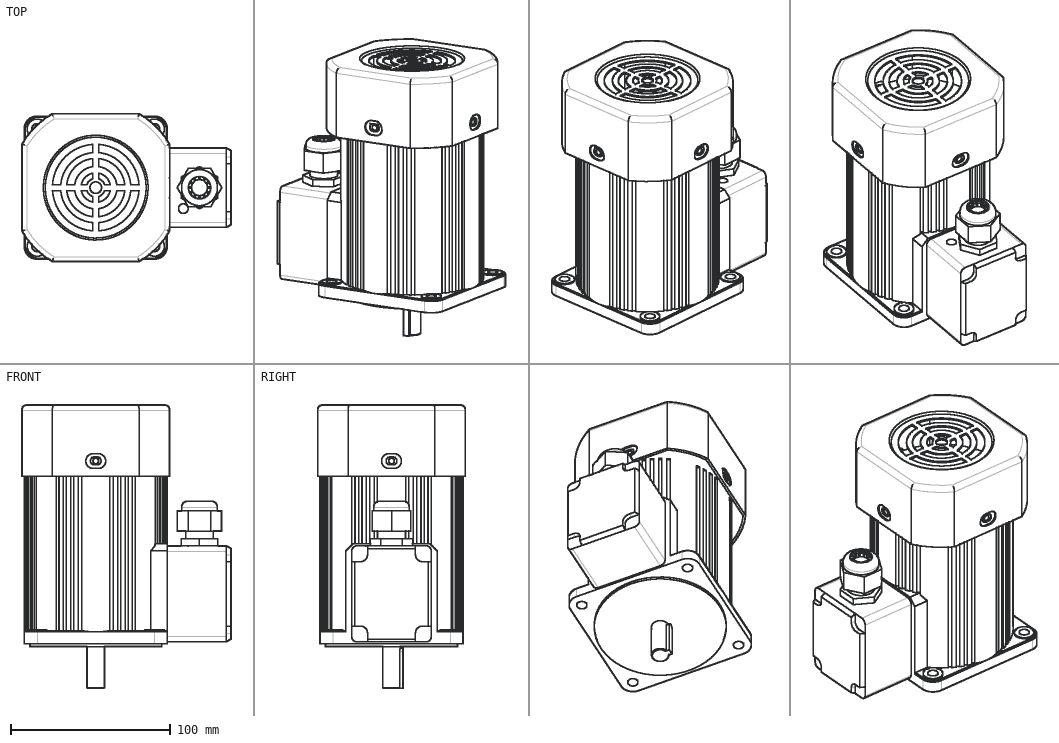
import cadquery as cq
import math


flange_width = 89.9
flange_height = 8.2
flange_corner_radius = 8.2
flange_edge_chamfer = 0.7
spigot_diameter = 83.0
spigot_height = 1.8
mount_hole_offset = 36.8
mount_hole_diameter = 6.4
mount_pad_diameter = 12.5
mount_pad_height = 0.7

housing_radius = flange_width / 2
housing_top = 105.2
flute_groups = 8
flutes_per_group = 4
flute_pitch_angle = 6.5
flute_radius = 1.0

saddle_top = 63.0
saddle_width = 57.3
saddle_chamfer = 4.6

shaft_diameter = 11.0
shaft_length = 28.0
shaft_seat_depth = flange_height
shaft_end_chamfer = 0.5
key_width = 4.0
key_top = -2.7
key_reach = 7.3

cover_width = 93.0
cover_height = 44.9
cover_corner_diameter = 107.7
cover_wall = cover_width / 2 - housing_radius
cover_edge_radius = 3.2
cover_top = housing_top + cover_height
grille_recess_diameter = 65.9
grille_recess_depth = 1.2
grille_recess_slope = 45
grille_thickness = 0.9
grille_spoke_width = 3.7
grille_rings = [(5.9, 9.3), (13.4, 18.3), (22.0, 27.2)]
grille_centre_hole_diameter = 7.3

bracket_top = 117.1
screw_height = 114.8
screw_recess_length = 12.5
screw_recess_height = 9.3
screw_recess_depth = 0.9
screw_slot_length = 6.8
screw_slot_height = 4.8
screw_pilot_diameter = 3.5
screw_pilot_depth = 7.1

box_width = 50.0
box_bottom = 1.2
box_top = 61.5
box_height = box_top - box_bottom
box_edge_radius = 3.4
box_start = housing_radius
box_end = 85.0
lid_thickness = 3.0
lid_taper = 1.8
lid_notch = 10.0
lid_notch_radius = 4.5
drain_hole_diameter = 6.0
drain_hole_depth = 5.3
drain_hole_x = 55.0
drain_hole_y = -13.2

gland_x = 65.1
base_hex_flats = 23.0
base_hex_height = 4.5
base_hex_turn = 30
neck_diameter = 17.5
neck_height = 4.8
nut_flats = 24.2
nut_height = 12.6
dome_diameter = 22.6
dome_height = 6.2
dome_edge_radius = 4.0
gland_bore_diameter = 13.9
gland_bore_depth = 3.5
claw_ring_inner_diameter = 10.0
claw_ring_drop = 0.9
claw_count = 12
claw_gap = 0.9


def disc(diameter, bottom, height):
    """Cylinder on the motor axis."""
    return cq.Workplane("XY").workplane(offset=bottom).circle(diameter / 2).extrude(height)


def hexagon(flats, bottom, height, turn):
    """Hexagonal prism on the gland axis, turned by an angle in degrees."""
    corners = flats / math.cos(math.pi / 6)
    prism = cq.Workplane("XY").polygon(6, corners).extrude(height)
    return prism.rotate((0, 0, 0), (0, 0, 1), turn).translate((gland_x, 0, bottom))


def cover_profile(inset, bottom, height):
    """Square with corners rounded about the motor axis, shrunk by an inset."""
    side = cover_width - 2 * inset
    square = cq.Workplane("XY").workplane(offset=bottom).rect(side, side).extrude(height)
    return square.intersect(disc(cover_corner_diameter - 2 * inset, bottom, height))


def on_four_sides(solid):
    """Copies of a shape, one for each side around the motor axis."""
    return [solid.rotate((0, 0, 0), (0, 0, 1), 90 * side) for side in range(4)]


def side_slot(length, height, start, depth):
    """Obround cutter lying on -Y at screw height, cut inward from y = -start."""
    plane = cq.Workplane("XZ", origin=(0, -start, screw_height))
    return plane.slot2D(length, height).extrude(-depth)


def make_flange():
    flange = (
        cq.Workplane("XY")
        .rect(flange_width, flange_width)
        .extrude(flange_height)
        .edges("|Z")
        .fillet(flange_corner_radius)
        .faces(">Z")
        .chamfer(flange_edge_chamfer)
    )
    return flange.union(disc(spigot_diameter, -spigot_height, spigot_height))


def make_fluted_tube():
    tube = disc(2 * housing_radius, 0, housing_top)
    group_angle = 360 / flute_groups
    for group in range(flute_groups):
        for flute in range(flutes_per_group):
            step = flute - (flutes_per_group - 1) / 2
            angle = group_angle * (group + 0.5) + flute_pitch_angle * step
            groove = (
                cq.Workplane("XY")
                .workplane(offset=flange_height)
                .center(housing_radius, 0)
                .circle(flute_radius)
                .extrude(housing_top - flange_height)
                .rotate((0, 0, 0), (0, 0, 1), angle)
            )
            tube = tube.cut(groove)
    return tube


def make_saddle():
    size = (box_start, saddle_width, saddle_top)
    block = cq.Workplane("XY").box(*size, centered=(False, True, False))
    return block.faces(">Z").edges("|X").chamfer(saddle_chamfer)


def make_screw_pilot():
    """Round screw hole on -Y, drilled inward from the bracket rim."""
    plane = cq.Workplane("XZ", origin=(0, -housing_radius, screw_height))
    return plane.circle(screw_pilot_diameter / 2).extrude(-screw_pilot_depth)


def make_housing():
    bracket = disc(2 * housing_radius, housing_top, bracket_top - housing_top)
    housing = make_flange().union(make_fluted_tube()).union(make_saddle()).union(bracket)
    hole_points = [(x * mount_hole_offset, y * mount_hole_offset) for x in (-1, 1) for y in (-1, 1)]
    pad_top = flange_height + mount_pad_height
    corners = cq.Workplane("XY").pushPoints(hole_points)
    pads = corners.circle(mount_pad_diameter / 2).extrude(pad_top)
    holes = corners.circle(mount_hole_diameter / 2).extrude(pad_top)
    housing = housing.union(pads).cut(holes)
    shaft_seat = disc(shaft_diameter, -spigot_height, spigot_height + shaft_seat_depth)
    housing = housing.cut(shaft_seat)
    for cutter in on_four_sides(make_screw_pilot()):
        housing = housing.cut(cutter)
    return housing


def make_shaft():
    shaft = disc(shaft_diameter, -shaft_length, shaft_length + shaft_seat_depth)
    shaft = shaft.faces("<Z").chamfer(shaft_end_chamfer)
    key_radius = key_width / 2
    key = (
        cq.Workplane("XZ")
        .moveTo(-key_radius, -shaft_length)
        .lineTo(key_radius, -shaft_length)
        .lineTo(key_radius, key_top - key_radius)
        .threePointArc((0, key_top), (-key_radius, key_top - key_radius))
        .close()
        .extrude(-key_reach)
    )
    return shaft.union(key)


def make_grille_slots():
    slots = disc(grille_centre_hole_diameter, bracket_top, cover_height)
    spokes = (
        cq.Workplane("XY")
        .workplane(offset=bracket_top)
        .rect(cover_width, grille_spoke_width)
        .extrude(cover_height)
    )
    spokes = spokes.union(spokes.rotate((0, 0, 0), (0, 0, 1), 90))
    for inner_radius, outer_radius in grille_rings:
        ring = disc(2 * outer_radius, bracket_top, cover_height)
        ring = ring.cut(disc(2 * inner_radius, bracket_top, cover_height))
        slots = slots.union(ring.cut(spokes))
    return slots


def make_fan_cover():
    cover = cover_profile(0, housing_top, cover_height).faces(">Z").edges().fillet(cover_edge_radius)
    roof = grille_recess_depth + grille_thickness
    cover = cover.cut(cover_profile(cover_wall, housing_top, cover_height - roof))
    recess = (
        cq.Workplane("XY")
        .workplane(offset=cover_top)
        .circle(grille_recess_diameter / 2)
        .extrude(-grille_recess_depth, taper=grille_recess_slope)
    )
    cover = cover.cut(recess).cut(make_grille_slots())
    face = cover_width / 2
    screw_recess = side_slot(screw_recess_length, screw_recess_height, face, screw_recess_depth)
    screw_slot = side_slot(screw_slot_length, screw_slot_height, face, cover_wall)
    for cutter in on_four_sides(screw_recess.union(screw_slot)):
        cover = cover.cut(cutter)
    return cover


def box_block(start, length):
    """Plain block with the width and height of the terminal box."""
    centre_z = (box_bottom + box_top) / 2
    return cq.Workplane("YZ", origin=(start, 0, centre_z)).rect(box_width, box_height).extrude(length)


def make_terminal_box():
    lid_face = box_end - lid_thickness
    box = box_block(box_start, lid_face - box_start).edges("|X").fillet(box_edge_radius)
    taper_angle = math.degrees(math.atan(lid_taper / lid_thickness))
    lid_outline = box.faces(">X").wires().toPending().workplane()
    lid = lid_outline.extrude(lid_thickness, taper=taper_angle, combine=False)
    box = box.union(lid)
    for y in (-box_width / 2, box_width / 2):
        for z in (box_bottom, box_top):
            notch = (
                cq.Workplane("YZ", origin=(lid_face, y, z))
                .rect(2 * lid_notch, 2 * lid_notch)
                .extrude(lid_thickness)
                .edges("|X")
                .fillet(lid_notch_radius)
            )
            box = box.cut(notch)
    drain_hole = (
        cq.Workplane("XY", origin=(drain_hole_x, drain_hole_y, box_top))
        .circle(drain_hole_diameter / 2)
        .extrude(-drain_hole_depth)
    )
    return box.cut(drain_hole)


def make_gland():
    neck_bottom = box_top + base_hex_height
    nut_bottom = neck_bottom + neck_height
    dome_bottom = nut_bottom + nut_height
    dome_top = dome_bottom + dome_height
    neck = disc(neck_diameter, neck_bottom, neck_height)
    dome = disc(dome_diameter, dome_bottom, dome_height).faces(">Z").edges().fillet(dome_edge_radius)
    bore_floor = dome_top - gland_bore_depth
    bore = disc(gland_bore_diameter, bore_floor, gland_bore_depth)
    claws = disc(gland_bore_diameter, bore_floor, gland_bore_depth - claw_ring_drop)
    claws = claws.cut(disc(claw_ring_inner_diameter, bore_floor, gland_bore_depth))
    for index in range(claw_count):
        gap = (
            cq.Workplane("XY")
            .workplane(offset=bore_floor)
            .rect(gland_bore_diameter, claw_gap)
            .extrude(gland_bore_depth)
            .translate((gland_bore_diameter / 2, 0, 0))
            .rotate((0, 0, 0), (0, 0, 1), index * 360 / claw_count)
        )
        claws = claws.cut(gap)
    top = dome.cut(bore.cut(claws)).translate((gland_x, 0, 0))
    gland = hexagon(base_hex_flats, box_top, base_hex_height, base_hex_turn)
    gland = gland.union(neck.translate((gland_x, 0, 0)))
    gland = gland.union(hexagon(nut_flats, nut_bottom, nut_height, 0))
    return gland.union(top)


housing = make_housing()
shaft = make_shaft()
fan_cover = make_fan_cover()
terminal_box = make_terminal_box()
cable_gland = make_gland()

bodies = [housing, shaft, fan_cover, terminal_box, cable_gland]
result = cq.Compound.makeCompound([body.solids().val() for body in bodies])